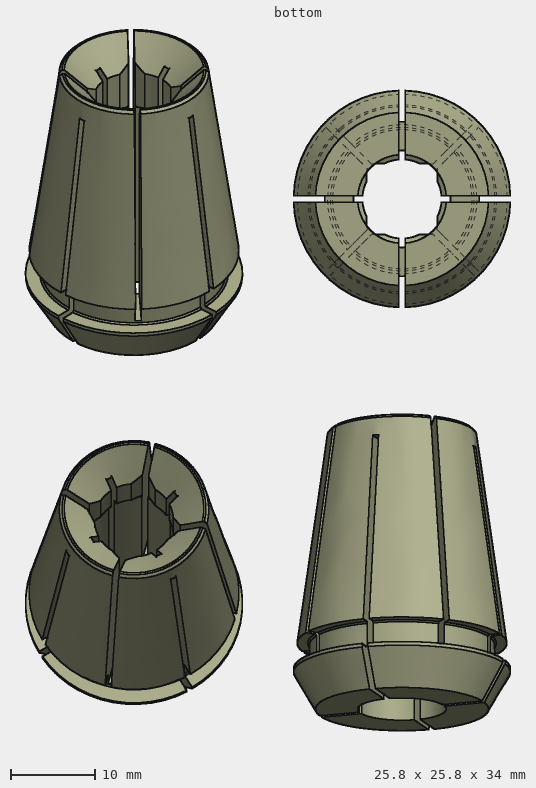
import cadquery as cq
import math

length = 34.0

flange_diameter = 25.8
flange_radius = flange_diameter / 2
flange_top = 4.95
flange_band = 0.45
nose_angle = 30.0

neck_radius = 11.0
neck_chamfer = 0.2

taper_bottom = 8.1
taper_bottom_radius = 12.48
taper_angle = 8.0
rim_chamfer = 0.35

shank_radius = 5.27
shank_tip_slope = 30.0
square_side = 8.4
square_bottom = 25.1
relief_radius = 4.7

mouth_radius = 8.3
mouth_slope = 45.0

slot_width = 0.75
slot_length = 2 * flange_diameter
front_slot_top = 31.45
rear_slot_floor = 5.45


def revolve_profile(points):
    """Revolve a closed (radius, height) outline about the Z axis."""
    return cq.Workplane("XZ").polyline(points).close().revolve(360, (0, 0), (0, 1))


def make_body():
    """Make the unslotted blank from its outer profile."""
    band_bottom = flange_top - flange_band
    nose_radius = flange_radius - band_bottom * math.tan(math.radians(nose_angle))
    rim_bottom = length - rim_chamfer
    taper_height = rim_bottom - taper_bottom
    taper_top_radius = taper_bottom_radius - taper_height * math.tan(math.radians(taper_angle))
    return revolve_profile([
        (0, 0),
        (nose_radius, 0),
        (flange_radius, band_bottom),
        (flange_radius, flange_top),
        (neck_radius + neck_chamfer, flange_top),
        (neck_radius, flange_top + neck_chamfer),
        (neck_radius, taper_bottom - neck_chamfer),
        (neck_radius + neck_chamfer, taper_bottom),
        (taper_bottom_radius, taper_bottom),
        (taper_top_radius, rim_bottom),
        (taper_top_radius - rim_chamfer, length),
        (0, length),
    ])


def make_bore():
    """Join the shank hole, the square drive and the mouth into one cutter."""
    tip_height = shank_radius * math.tan(math.radians(shank_tip_slope))
    shank = revolve_profile([
        (0, 0),
        (shank_radius, 0),
        (shank_radius, square_bottom),
        (0, square_bottom + tip_height),
    ])

    drive_depth = length - square_bottom
    drive_plane = cq.Workplane("XY").workplane(offset=square_bottom)
    square = drive_plane.rect(square_side, square_side).extrude(drive_depth)
    relief = drive_plane.circle(relief_radius).extrude(drive_depth)

    mouth_depth = mouth_radius * math.tan(math.radians(mouth_slope))
    mouth = revolve_profile([
        (0, length),
        (mouth_radius, length),
        (0, length - mouth_depth),
    ])
    return shank.union(square).union(relief).union(mouth)


def make_slot(angle, bottom, top):
    """Make a thin plate through the axis, turned about Z, spanning bottom to top."""
    return (
        cq.Workplane("XY")
        .workplane(offset=bottom)
        .rect(slot_length, slot_width)
        .extrude(top - bottom)
        .rotate((0, 0, 0), (0, 0, 1), angle)
    )


result = make_body().cut(make_bore())
for slot_angle in (0, 90):
    result = result.cut(make_slot(slot_angle, 0, front_slot_top))
    result = result.cut(make_slot(slot_angle + 45, rear_slot_floor, length))